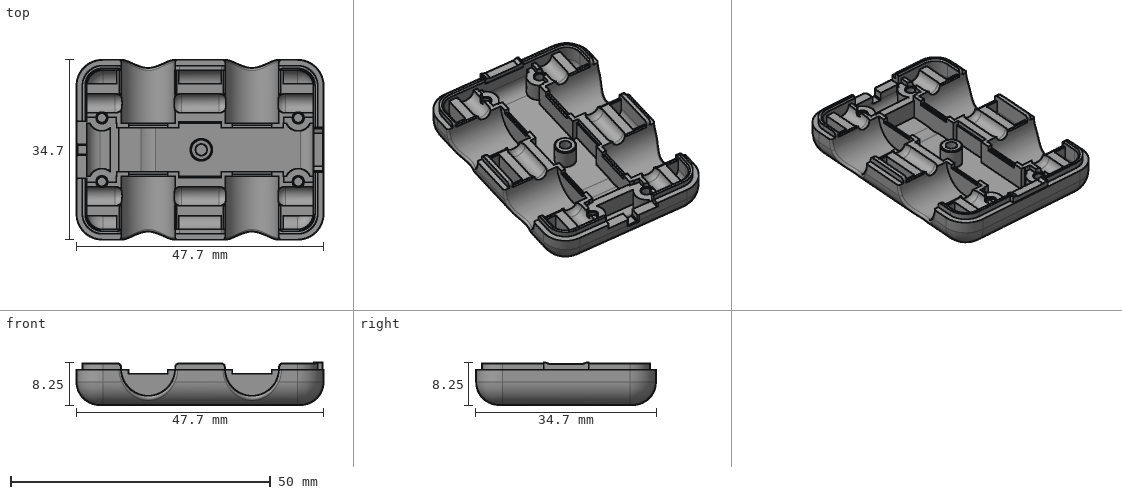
import cadquery as cq
LENGTH = 47.65
WIDTH = 34.7
RIM_Z = 6.85
CORNER_RADIUS = 5.05
BOTTOM_FILLET = 4.55
WALL = 2.0

LIP_TOP_Z = 8.05
LIP_INSET = 1.15
LIP_CHAMFER = 0.35
LIP_END_FILLET = 0.75

CHANNEL_X = 10.0
CHANNEL_RADIUS = 5.2
CHANNEL_AXIS_Z = 7.0
CHANNEL_INNER_Y = 5.15
CHANNEL_EDGE_FILLET = 0.5
CHANNEL_TOP_BREAK = 0.35
CHANNEL_TOP_BREAK_DROP = 0.2

LEDGE_Z = 5.9
TROUGH_HALF_WIDTH = 4.25
BLOCK_OUTER_Y = 12.7
END_WALL_INNER_X = 4.1
END_WALL_OUTER_X = 16.0
CENTRE_STEP_Y = 5.45
GATE_HALF_WIDTH = 3.75
GATE_SILL_STEP = 0.2
PLATFORM_X = 16.15
PLATFORM_OUTER_Y = 6.3

GROOVE_Y = 8.95
GROOVE_RADIUS = 1.85
GROOVE_END_GAP = 6.45

POST_X = 18.9
POST_Y = 6.15
POST_RADIUS = 2.53
POST_HOLE_DIAMETER = 2.25
POST_PILOT_DIAMETER = 1.85

BOSS_X = 0.25
BOSS_DIAMETER = 4.25
BOSS_HOLE_DIAMETER = 2.25
BOSS_CHAMFER = 0.2

RIB_INNER_X = -15.7
RIB_OUTER_X = -17.3

NOTCH_HALF_WIDTH = 5.5
SLOT_HALF_WIDTH = 1.05
SLOT_BOTTOM_Z = 4.25
SLOT_CORNER_BREAK = 0.2
SLOT_MOUTH_DROP = 0.2
SLOT_OVERRUN = 0.1
MOUTH_FLARE = 0.3
MOUTH_DEPTH = 0.25

LATCH_INNER_X = 21.9
LATCH_OUTER_X = 23.65
LATCH_SEAT_Z = 7.05
LATCH_HALF_WIDTH = 4.35
LATCH_FLAT_Z = 7.95
LATCH_TOP_Z = 8.25
LATCH_CREST_Y = 4.0
LATCH_FLAT_Y = 3.2

SIDES = (-1, 1)

SEARCH_MARGIN = 0.05


def box(x0, x1, y0, y1, z0, z1):
    """Axis-aligned box between two opposite corners given in any order."""
    size = (abs(x1 - x0), abs(y1 - y0), abs(z1 - z0))
    middle = ((x0 + x1) / 2, (y0 + y1) / 2, (z0 + z1) / 2)
    return cq.Workplane("XY").box(*size).translate(middle)


def rounded_slab(inset, z0, z1, taper=0):
    """Slab with the shell's rounded outline, moved inward by inset."""
    return (
        cq.Workplane("XY", origin=(0, 0, z0))
        .sketch()
        .rect(LENGTH - 2 * inset, WIDTH - 2 * inset)
        .vertices()
        .fillet(CORNER_RADIUS - inset)
        .finalize()
        .extrude(z1 - z0, taper=taper)
    )


def channel(x, y0, y1):
    """Half-round channel cutter along Y, open upward."""
    round_part = (
        cq.Workplane("XZ", origin=(x, y1, CHANNEL_AXIS_Z))
        .circle(CHANNEL_RADIUS)
        .extrude(y1 - y0)
    )
    open_part = box(x - CHANNEL_RADIUS, x + CHANNEL_RADIUS, y0, y1, CHANNEL_AXIS_Z, 2 * LIP_TOP_Z)
    return round_part.union(open_part)


def all_channels():
    """The four channel cutters, leaving the trough between them uncut."""
    cutters = cq.Workplane("XY")
    for x in (-CHANNEL_X, CHANNEL_X):
        cutters = cutters.union(channel(x, CHANNEL_INNER_Y, WIDTH))
        cutters = cutters.union(channel(x, -WIDTH, -CHANNEL_INNER_Y))
    return cutters


def outer_body(channels):
    """Solid shell form with the channels cut and their mouths rounded."""
    body = rounded_slab(0, 0, RIM_Z).faces("<Z").edges().fillet(BOTTOM_FILLET)
    body = body.cut(channels)
    for x in (-CHANNEL_X, CHANNEL_X):
        for side in SIDES:
            near_y = side * (WIDTH / 2 - BOTTOM_FILLET / 2)
            far_y = side * WIDTH
            low = (x - CHANNEL_RADIUS - SEARCH_MARGIN, min(near_y, far_y), SEARCH_MARGIN)
            high = (x + CHANNEL_RADIUS + SEARCH_MARGIN, max(near_y, far_y), RIM_Z - SEARCH_MARGIN)
            mouth = cq.selectors.BoxSelector(low, high)
            body = body.edges(mouth).fillet(CHANNEL_EDGE_FILLET)
    return body


def end_wall(x_side, side):
    """Block around one channel, with a stepped gate in the wall that closes its inner end."""
    wall = box(
        x_side * END_WALL_INNER_X, x_side * END_WALL_OUTER_X,
        side * TROUGH_HALF_WIDTH, side * WIDTH / 2, 0, RIM_Z,
    )
    gate_x0 = x_side * CHANNEL_X - GATE_HALF_WIDTH
    gate_x1 = x_side * CHANNEL_X + GATE_HALF_WIDTH
    step_y = (TROUGH_HALF_WIDTH + CHANNEL_INNER_Y) / 2
    low_gate = box(gate_x0, gate_x1, 0, side * step_y, LEDGE_Z, RIM_Z)
    high_gate = box(gate_x0, gate_x1, 0, side * CHANNEL_INNER_Y, LEDGE_Z + GATE_SILL_STEP, RIM_Z)
    return wall.cut(low_gate).cut(high_gate)


def blocks():
    """Raised blocks beside the trough, reaching past the cavity on every side."""
    half_length = LENGTH / 2
    solids = cq.Workplane("XY")
    for side in SIDES:
        shelf = box(-half_length, half_length, side * CHANNEL_INNER_Y, side * BLOCK_OUTER_Y, 0, RIM_Z)
        centre_step = box(
            -END_WALL_INNER_X, END_WALL_INNER_X, 0, side * CENTRE_STEP_Y, LEDGE_Z, RIM_Z,
        )
        shelf = shelf.cut(centre_step)
        for x_side in SIDES:
            platform_room = box(
                x_side * PLATFORM_X, x_side * half_length,
                0, side * PLATFORM_OUTER_Y, LEDGE_Z, RIM_Z,
            )
            shelf = shelf.cut(platform_room).union(end_wall(x_side, side))
        solids = solids.union(shelf)
    return solids


def posts():
    """Four round screw posts as high as the platforms."""
    return (
        cq.Workplane("XY")
        .rect(2 * POST_X, 2 * POST_Y, forConstruction=True)
        .vertices()
        .circle(POST_RADIUS)
        .extrude(LEDGE_Z)
    )


def post_holes():
    """Screw holes with a countersunk rim, widened where they cut the wall above the platform."""
    pilot_radius = POST_PILOT_DIAMETER / 2
    entry_radius = POST_HOLE_DIAMETER / 2
    profile = [
        (0, WALL),
        (pilot_radius, WALL),
        (pilot_radius, LEDGE_Z - (entry_radius - pilot_radius)),
        (entry_radius, LEDGE_Z),
        (entry_radius, RIM_Z),
        (0, RIM_Z),
    ]
    hole = cq.Workplane("XZ").polyline(profile).close().revolve(360, (0, 0, 0), (0, 1, 0))
    cutters = cq.Workplane("XY")
    for x in (-POST_X, POST_X):
        for y in (-POST_Y, POST_Y):
            cutters = cutters.union(hole.translate((x, y, 0)))
    return cutters


def groove(x0, x1, y, ball_ends):
    """Round-bottomed groove cutter along X with a ball at each of the given ends."""
    cutter = (
        cq.Workplane("YZ", origin=(x0, y, RIM_Z))
        .circle(GROOVE_RADIUS)
        .extrude(x1 - x0)
    )
    for x in ball_ends:
        ball = cq.Workplane("XY", origin=(x, y, RIM_Z)).sphere(GROOVE_RADIUS)
        cutter = cutter.union(ball)
    return cutter


def cut_grooves(body):
    """Cut one centre groove and two side grooves in each row of blocks."""
    wall_x = LENGTH / 2 - WALL
    outer_x = CHANNEL_X + GROOVE_END_GAP
    inner_x = CHANNEL_X - GROOVE_END_GAP
    for y in (-GROOVE_Y, GROOVE_Y):
        body = body.cut(groove(-wall_x, -outer_x, y, [-outer_x]))
        body = body.cut(groove(-inner_x, inner_x, y, [-inner_x, inner_x]))
        body = body.cut(groove(outer_x, wall_x, y, [outer_x]))
    return body


def channel_edge_break(x, side_x, side_y):
    """Wedge that breaks a channel's upper edge between the groove and the lip."""
    edge_x = x + side_x * CHANNEL_RADIUS
    start_y = side_y * (GROOVE_Y + GROOVE_RADIUS)
    end_y = side_y * (WIDTH / 2 - WALL)
    return (
        cq.Workplane("XZ", origin=(0, max(start_y, end_y), 0))
        .polyline([
            (edge_x - side_x * CHANNEL_TOP_BREAK, RIM_Z),
            (edge_x + side_x * CHANNEL_TOP_BREAK, RIM_Z),
            (edge_x, RIM_Z - CHANNEL_TOP_BREAK_DROP),
            (edge_x - side_x * CHANNEL_TOP_BREAK, RIM_Z - CHANNEL_TOP_BREAK_DROP),
        ])
        .close()
        .extrude(abs(end_y - start_y))
    )


def cavity():
    """Room inside the walls up to the lip's top, with a rounded bottom edge."""
    return rounded_slab(WALL, WALL, LIP_TOP_Z).faces("<Z").edges().fillet(BOTTOM_FILLET - WALL)


def lip(channels):
    """Lip segments with rounded ends; the four corner segments are chamfered inside."""
    ring = rounded_slab(LIP_INSET, RIM_Z, LIP_TOP_Z).cut(rounded_slab(WALL, RIM_Z, LIP_TOP_Z))
    funnel = rounded_slab(WALL, LIP_TOP_Z - LIP_CHAMFER, LIP_TOP_Z, taper=-45)
    middle = box(-CHANNEL_X, CHANNEL_X, -WIDTH, WIDTH, 0, 2 * LIP_TOP_Z)
    ring = ring.cut(channels).cut(funnel.cut(middle))
    for x in (-CHANNEL_X, CHANNEL_X):
        for side in SIDES:
            edge_x = x + side * CHANNEL_RADIUS
            inner_x = edge_x + side * LIP_END_FILLET
            corner = box(edge_x, inner_x, -WIDTH, WIDTH, LIP_TOP_Z - LIP_END_FILLET, LIP_TOP_Z)
            rounding = (
                cq.Workplane("XZ", origin=(inner_x, WIDTH, LIP_TOP_Z - LIP_END_FILLET))
                .circle(LIP_END_FILLET)
                .extrude(2 * WIDTH)
            )
            ring = ring.cut(corner.cut(rounding))
    return ring


def latch():
    """Latch with a sloped crest at both ends, standing on a seat level with the inner wall."""
    half_profile = [
        (LATCH_FLAT_Y, LATCH_FLAT_Z),
        (LATCH_CREST_Y, LATCH_TOP_Z),
        (LATCH_HALF_WIDTH, LATCH_TOP_Z),
        (LATCH_HALF_WIDTH, LATCH_SEAT_Z),
    ]
    mirrored = [(-y, z) for y, z in reversed(half_profile)]
    wall_x = LENGTH / 2 - WALL
    seat = box(wall_x, LATCH_OUTER_X, -LATCH_HALF_WIDTH, LATCH_HALF_WIDTH, RIM_Z, LATCH_SEAT_Z)
    hook = (
        cq.Workplane("YZ", origin=(LATCH_INNER_X, 0, 0))
        .polyline(half_profile + mirrored)
        .close()
        .extrude(LATCH_OUTER_X - LATCH_INNER_X)
    )
    return hook.union(seat)


def wall_notch():
    """Wide notch in the -X wall, flared sideways at the outer face."""
    outer_x = -LENGTH / 2
    opening = box(outer_x, outer_x + WALL, -NOTCH_HALF_WIDTH, NOTCH_HALF_WIDTH, LEDGE_Z, LIP_TOP_Z)
    mouth_half = NOTCH_HALF_WIDTH + MOUTH_FLARE
    flare = (
        cq.Workplane("XY", origin=(0, 0, LEDGE_Z))
        .polyline([
            (outer_x, -mouth_half),
            (outer_x + MOUTH_DEPTH, -NOTCH_HALF_WIDTH),
            (outer_x + MOUTH_DEPTH, NOTCH_HALF_WIDTH),
            (outer_x, mouth_half),
        ])
        .close()
        .extrude(LIP_TOP_Z - LEDGE_Z)
    )
    return opening.union(flare)


def slot_outline(half_width, bottom_z):
    """Slot section in Y and Z with broken bottom corners."""
    return [
        (-half_width, LIP_TOP_Z),
        (-half_width, bottom_z + SLOT_CORNER_BREAK),
        (-half_width + SLOT_CORNER_BREAK, bottom_z),
        (half_width - SLOT_CORNER_BREAK, bottom_z),
        (half_width, bottom_z + SLOT_CORNER_BREAK),
        (half_width, LIP_TOP_Z),
    ]


def wall_slot():
    """Narrow slot through the -X wall with a flared outer mouth."""
    outer_x = -LENGTH / 2
    inner_outline = slot_outline(SLOT_HALF_WIDTH, SLOT_BOTTOM_Z)
    mouth_outline = slot_outline(SLOT_HALF_WIDTH + MOUTH_FLARE, SLOT_BOTTOM_Z - SLOT_MOUTH_DROP)
    through = (
        cq.Workplane("YZ", origin=(outer_x, 0, 0))
        .polyline(inner_outline)
        .close()
        .extrude(WALL + SLOT_OVERRUN)
    )
    mouth = (
        cq.Workplane("YZ", origin=(outer_x, 0, 0))
        .polyline(mouth_outline)
        .close()
        .workplane(offset=MOUTH_DEPTH)
        .polyline(inner_outline)
        .close()
        .loft(ruled=True)
    )
    return through.union(mouth)


def boss():
    """Central boss with a chamfered top edge, rooted in the floor."""
    return (
        cq.Workplane("XY", origin=(BOSS_X, 0, WALL / 2))
        .circle(BOSS_DIAMETER / 2)
        .extrude(LEDGE_Z - WALL / 2)
        .faces(">Z")
        .edges()
        .chamfer(BOSS_CHAMFER)
    )


def build():
    """Assemble the tray: shell, inner blocks, lip, boss, latch and wall openings."""
    channels = all_channels()
    rib = box(RIB_INNER_X, RIB_OUTER_X, -POST_Y, POST_Y, 0, LEDGE_Z)
    filling = blocks().union(posts()).union(rib)
    body = outer_body(channels).cut(cavity().cut(filling))
    body = cut_grooves(body)
    for x in (-CHANNEL_X, CHANNEL_X):
        for side_x in SIDES:
            for side_y in SIDES:
                body = body.cut(channel_edge_break(x, side_x, side_y))
    body = body.cut(post_holes())
    body = body.union(lip(channels))
    body = body.cut(channel(-CHANNEL_X, -TROUGH_HALF_WIDTH, TROUGH_HALF_WIDTH))
    body = body.union(boss())
    body = body.cut(
        cq.Workplane("XY", origin=(BOSS_X, 0, WALL))
        .circle(BOSS_HOLE_DIAMETER / 2)
        .extrude(LEDGE_Z - WALL)
    )
    latch_room = box(
        LENGTH / 2 - WALL, LENGTH / 2, -LATCH_HALF_WIDTH, LATCH_HALF_WIDTH, RIM_Z, LATCH_TOP_Z,
    )
    body = body.cut(latch_room)
    body = body.union(latch())
    body = body.cut(wall_notch())
    body = body.cut(wall_slot())
    return body


result = build()